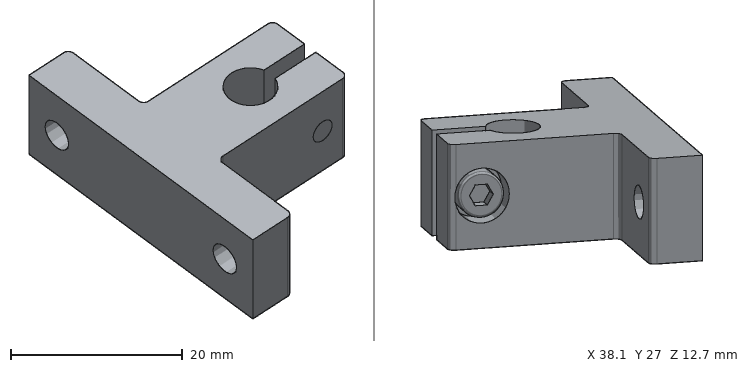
import cadquery as cq

base_length = 38.1
thickness = base_length / 3
base_depth = thickness / 2
post_width = thickness
total_depth = 27.0
corner_radius = 0.8

mount_hole_diameter = 3.95
mount_hole_spacing = 0.75 * base_length

bore_diameter = 6.35
bore_y = 17.5
slot_width = 1.9

screw_y = 23.05
shank_diameter = 3.0
head_diameter = 5.5
head_height = 3.0
head_edge_radius = 0.25
head_recess = 0.3
counterbore_diameter = 6.6
hex_across_corners = 2.9
hex_depth = 1.5

post_left_x = -post_width / 2
head_top_x = post_left_x + head_recess
head_seat_x = head_top_x + head_height
mid_z = thickness / 2


def rod(diameter, start_x, end_x):
    """Cylinder on the screw axis between two X positions."""
    return (
        cq.Workplane("YZ", origin=(start_x, screw_y, mid_z))
        .circle(diameter / 2)
        .extrude(end_x - start_x)
    )


def make_bracket():
    """T-shaped clamp block with bore, slot, mounting and screw holes."""
    base = cq.Workplane("XY").rect(base_length, base_depth).extrude(thickness)
    base = base.translate((0, base_depth / 2, 0))
    post = cq.Workplane("XY").rect(post_width, total_depth).extrude(thickness)
    post = post.translate((0, total_depth / 2, 0))

    above_mounting_face = cq.selectors.BoxSelector(
        (-base_length, base_depth / 2, -thickness),
        (base_length, total_depth + base_depth, 2 * thickness),
    )
    body = base.union(post).edges("|Z").edges(above_mounting_face).fillet(corner_radius)

    bore = cq.Workplane("XY").center(0, bore_y).circle(bore_diameter / 2).extrude(thickness)
    slot_length = total_depth - bore_y
    slot = (
        cq.Workplane("XY")
        .center(0, bore_y + slot_length / 2)
        .rect(slot_width, slot_length)
        .extrude(thickness)
    )
    mount_holes = (
        cq.Workplane("XZ", origin=(0, 0, mid_z))
        .pushPoints([(-mount_hole_spacing / 2, 0), (mount_hole_spacing / 2, 0)])
        .circle(mount_hole_diameter / 2)
        .extrude(-base_depth)
    )
    counterbore = rod(counterbore_diameter, post_left_x, head_seat_x)
    screw_hole = rod(shank_diameter, head_seat_x, post_width / 2)

    return body.cut(bore).cut(slot).cut(mount_holes).cut(counterbore).cut(screw_hole)


def make_clamp_screw():
    """Socket head screw seated in the counterbore and crossing the slot."""
    head = rod(head_diameter, head_top_x, head_seat_x)
    head = head.faces("<X").edges().fillet(head_edge_radius)
    shank = rod(shank_diameter, head_seat_x, post_width / 2)
    hex_socket = (
        cq.Workplane("YZ", origin=(head_top_x, screw_y, mid_z))
        .polygon(6, hex_across_corners)
        .extrude(hex_depth)
    )
    return head.union(shank).cut(hex_socket)


bracket = make_bracket()
clamp_screw = make_clamp_screw()

result = cq.Compound.makeCompound([bracket.solids().val(), clamp_screw.solids().val()])